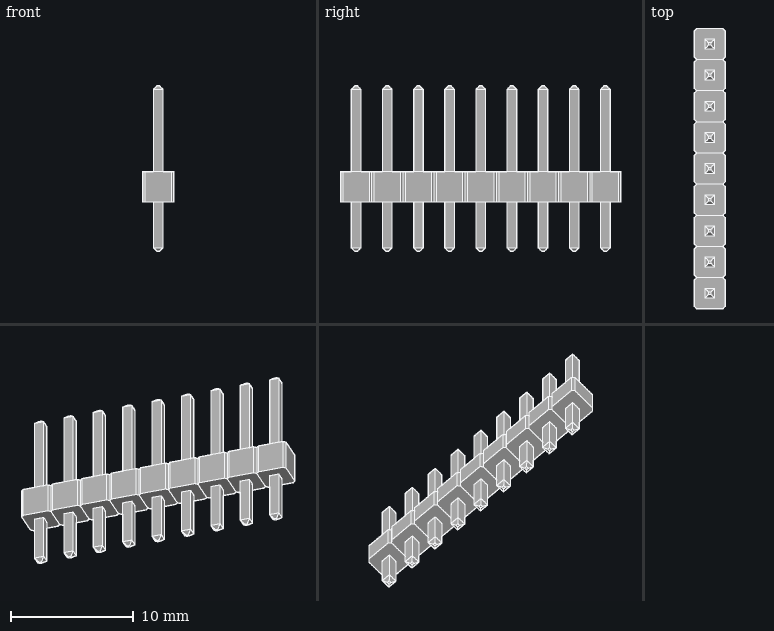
import cadquery as cq

contact_count = 9
row_length = 22.85
pitch = row_length / contact_count

block_height = 2.5
block_corner_chamfer = 0.2

overall_height = 13.5
pin_width = 0.8
pin_above_block = 7.0
pin_below_block = overall_height - block_height - pin_above_block
tip_chamfer = 0.3


def make_block():
    """Square block standing on Z = 0, with its four vertical edges chamfered."""
    return (
        cq.Workplane("XY")
        .box(pitch, pitch, block_height, centered=(True, True, False))
        .edges("|Z")
        .chamfer(block_corner_chamfer)
    )


def make_pin():
    """Square pin running above and below the block, chamfered all round at both ends."""
    return (
        cq.Workplane("XY", origin=(0, 0, -pin_below_block))
        .box(pin_width, pin_width, overall_height, centered=(True, True, False))
        .faces("<Z or >Z")
        .chamfer(tip_chamfer)
    )


def make_contact(y_position):
    """One contact centred on y_position: a block and its pin as a single solid."""
    contact = make_block().union(make_pin())
    return contact.solids().translate((0, y_position, 0))


first_y = (pitch - row_length) / 2
contacts = [make_contact(first_y + index * pitch).val() for index in range(contact_count)]

result = cq.Compound.makeCompound(contacts)